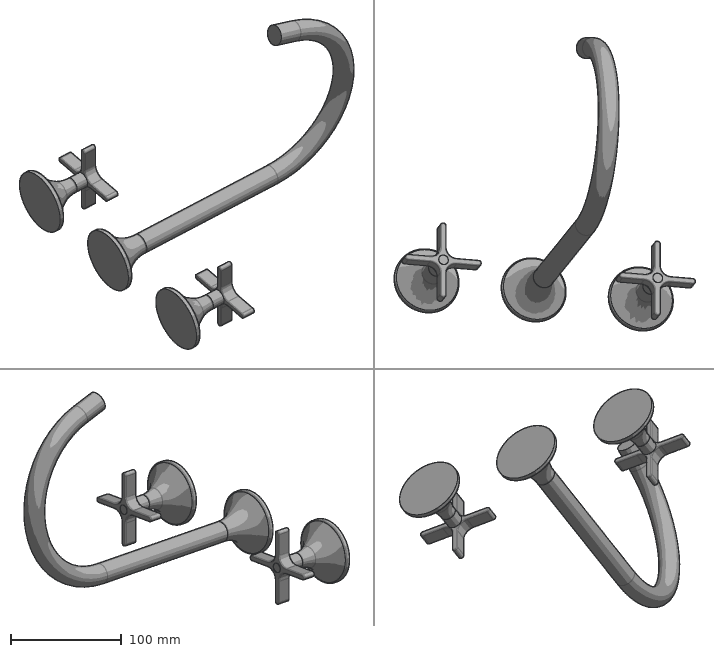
import cadquery as cq
import math

handle_pitch = 200.0

flange_radius = 30.0
flange_thickness = 4.5
flare_foot_radius = 28.8
rim_fillet = 0.8
base_height = 37.2
neck_height = 0.8
waist = (10.0, 23.5)

tube_radius = 9.5
bend_radius = 82.5
bend_start = 187.8
tip_tilt = 18.0
tip_length = 23.5

stem_radius = 7.3
arm_reach = 35.5
arm_thickness = 5.3
cross_back = 49.3
cross_front = 62.5
root_fillet = 9.8
face_fillet = 0.8
boss_radius = 4.5
boss_height = 0.42


def make_base(flare_points):
    """Round flange with a rounded rim and a concave flare.

    The flare is drawn from the neck, where it is parallel to the axis, down to the flange
    as tangent arcs through the given (radius, height) points.
    """
    profile = (
        cq.Workplane("XY")
        .moveTo(0, base_height)
        .lineTo(flare_points[0][0], base_height)
        .lineTo(*flare_points[0])
    )
    for point in flare_points[1:]:
        profile = profile.tangentArcPoint(point, relative=False)
    return (
        profile.lineTo(flange_radius - rim_fillet, flange_thickness)
        .tangentArcPoint((flange_radius, flange_thickness - rim_fillet), relative=False)
        .lineTo(flange_radius, 0)
        .lineTo(0, 0)
        .close()
        .revolve(360, (0, 0), (0, 1))
    )


def make_spout():
    """Round tube: straight run, upward bend back toward the wall, short straight tip."""
    tilt = math.radians(tip_tilt)
    bend_outermost = (bend_start + bend_radius, bend_radius)
    bend_end = (
        bend_start + bend_radius * math.sin(tilt),
        bend_radius + bend_radius * math.cos(tilt),
    )
    tip_end = (
        bend_end[0] - tip_length * math.cos(tilt),
        bend_end[1] + tip_length * math.sin(tilt),
    )
    centreline = (
        cq.Workplane("YZ")
        .moveTo(base_height, 0)
        .lineTo(bend_start, 0)
        .threePointArc(bend_outermost, bend_end)
        .lineTo(*tip_end)
    )
    return (
        cq.Workplane("XZ", origin=(0, base_height, 0))
        .circle(tube_radius)
        .sweep(centreline)
    )


def make_handle():
    """Four round-ended arms in a cross, on a round stem, with a low boss at the centre."""
    depth = cross_front - cross_back
    back_plane = cq.Workplane("XZ", origin=(0, cross_back, 0))
    cross = back_plane.slot2D(2 * arm_reach, arm_thickness).extrude(-depth)
    cross = cross.union(back_plane.slot2D(2 * arm_reach, arm_thickness, 90).extrude(-depth))

    root_box = cq.selectors.BoxSelector(
        (-arm_thickness, cross_back, -arm_thickness),
        (arm_thickness, cross_front, arm_thickness),
    )
    cross = cross.edges("|Y").edges(root_box).fillet(root_fillet)
    cross = cross.faces("<Y or >Y").edges().fillet(face_fillet)

    stem = (
        cq.Workplane("XZ", origin=(0, base_height, 0))
        .circle(stem_radius)
        .extrude(base_height - cross_back - face_fillet)
    )
    boss = (
        cq.Workplane("XZ", origin=(0, cross_front, 0))
        .circle(boss_radius)
        .extrude(-boss_height)
    )
    return cross.union(stem).union(boss)


flare_top = base_height - neck_height
flare_foot = (flare_foot_radius, flange_thickness)

spout_base = make_base([(tube_radius, flare_top), flare_foot])
spout = make_spout()

handle_flare = [(stem_radius, flare_top), waist, flare_foot]
handle_bases = []
handles = []
for side in (-1, 1):
    place = (side * handle_pitch / 2, 0, 0)
    handle_bases.append(make_base(handle_flare).translate(place).val())
    handles.append(make_handle().translate(place).val())

result = cq.Compound.makeCompound([spout_base.val(), spout.val(), *handle_bases, *handles])